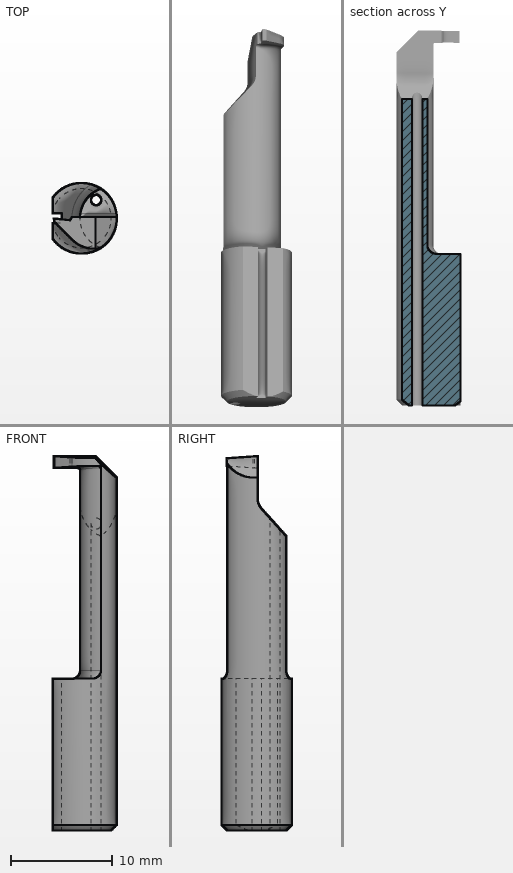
import cadquery as cq
import math

shank_radius = 3.5
flat_x = -2.85
shoulder_z = 15.0
shank_chamfer = 0.57
keyway_width = 0.95
keyway_depth = 0.9

neck_radius = 3.1
neck_left_x = -0.15
neck_axis_x = neck_left_x + neck_radius
neck_fillet = 0.8

total_height = 37.0
head_thickness = 1.2
relief_angle = 4.0
nose_chamfer_x = 1.38
head_fillet = 0.2
head_radius = 3.0
head_axis_x = 1.2
tip_x = -2.75
tip_y = 0.0
heel_y = -0.38
groove_end_x = -1.15
groove_y = -0.2
step_x = -0.95

face_y = 0.1
runout_radius = 1.5
runout_angle = 42.0
runout_end_y = 3.0
runout_end_z = 29.0
runout_overrun = 1.0

hole_diameter = 1.0
hole_x = 1.45
hole_y = 1.8

clearance = 10.0


def make_shank():
    shank = cq.Workplane("XY").circle(shank_radius).extrude(shoulder_z)
    shank = shank.faces("<Z").edges().chamfer(shank_chamfer)
    beyond_flat = cq.Workplane("XY").box(clearance, clearance, shoulder_z, centered=(True, True, False))
    beyond_flat = beyond_flat.translate((flat_x - clearance / 2, 0, 0))
    keyway = cq.Workplane("XY").box(keyway_depth, keyway_width, shoulder_z, centered=(False, True, False))
    return shank.cut(beyond_flat).cut(keyway.translate((flat_x, 0, 0)))


def make_neck():
    """Neck with a concave fillet at its root, kept inside the shank cylinder."""
    root_radius = neck_radius + neck_fillet
    root_top_z = shoulder_z + neck_fillet
    sag = neck_fillet * (1 - math.sqrt(0.5))
    blank = (
        cq.Workplane("XZ")
        .moveTo(0, shoulder_z)
        .lineTo(root_radius, shoulder_z)
        .threePointArc((neck_radius + sag, shoulder_z + sag), (neck_radius, root_top_z))
        .lineTo(neck_radius, total_height)
        .lineTo(0, total_height)
        .close()
        .revolve(360, (0, 0, 0), (0, 1, 0))
        .translate((neck_axis_x, 0, 0))
    )
    envelope = cq.Workplane("XY").circle(shank_radius).extrude(total_height)
    return blank.intersect(envelope)


def make_runout_cut():
    """Material removed above the milled face, its arc and its slope (YZ profile)."""
    angle = math.radians(runout_angle)
    arc_end_y = face_y + runout_radius * (1 - math.cos(angle))
    arc_end_z = runout_end_z + (runout_end_y - arc_end_y) / math.tan(angle)
    arc_start_z = arc_end_z + runout_radius * math.sin(angle)
    arc_mid = (
        face_y + runout_radius * (1 - math.cos(angle / 2)),
        arc_start_z - runout_radius * math.sin(angle / 2),
    )
    slope_end_y = runout_end_y + runout_overrun
    slope_end_z = runout_end_z - runout_overrun / math.tan(angle)
    return (
        cq.Workplane("YZ")
        .moveTo(face_y, total_height + clearance)
        .lineTo(face_y, arc_start_z)
        .threePointArc(arc_mid, (arc_end_y, arc_end_z))
        .lineTo(slope_end_y, slope_end_z)
        .lineTo(slope_end_y, total_height + clearance)
        .close()
        .extrude(clearance, both=True)
    )


def relief_plane(z, angle):
    """Upright plane at the milled face; sweeping along its normal falls by the angle towards -Y."""
    tilt = math.radians(angle)
    normal = (0, -math.cos(tilt), -math.sin(tilt))
    return cq.Workplane(cq.Plane(origin=(0, face_y, z), xDir=(1, 0, 0), normal=normal))


def make_head():
    """Head blank: chip groove on the +Y side, 45 degree flank and round back."""
    tangent_offset = head_radius * math.sqrt(0.5)
    tangent_x = head_axis_x - tangent_offset
    tangent_y = -tangent_offset
    heel_x = tangent_x + tangent_y - heel_y
    back_x = (shank_radius**2 - head_radius**2 + head_axis_x**2) / (2 * head_axis_x)
    back_y = -math.sqrt(shank_radius**2 - back_x**2)
    right_x = math.sqrt(shank_radius**2 - face_y**2)
    diagonal = shank_radius * math.sqrt(0.5)
    blank = (
        cq.Workplane("XY")
        .workplane(offset=total_height - 2 * head_thickness)
        .moveTo(tip_x, tip_y)
        .lineTo(heel_x, heel_y)
        .lineTo(tangent_x, tangent_y)
        .threePointArc((head_axis_x, -head_radius), (back_x, back_y))
        .threePointArc((diagonal, -diagonal), (right_x, face_y))
        .lineTo(step_x, face_y)
        .lineTo(groove_end_x, groove_y)
        .close()
        .extrude(2 * head_thickness)
    )
    below = (
        relief_plane(total_height - head_thickness, -relief_angle)
        .moveTo(-clearance, -clearance)
        .lineTo(-clearance, 0)
        .lineTo(clearance, 0)
        .lineTo(clearance, -clearance)
        .close()
        .extrude(clearance, both=True)
    )
    return blank.cut(below)


def make_top_cut():
    """Space above the relieved top face and the 45 degree nose chamfer."""
    return (
        relief_plane(total_height, relief_angle)
        .moveTo(-clearance, 0)
        .lineTo(nose_chamfer_x, 0)
        .lineTo(nose_chamfer_x + clearance, -clearance)
        .lineTo(nose_chamfer_x + clearance, clearance)
        .lineTo(-clearance, clearance)
        .close()
        .extrude(clearance, both=True)
    )


def join_head(neck):
    """Unite neck and head, rounding the corner where the neck runs into the head's underside."""
    joined = neck.union(make_head())
    underside_z = total_height - head_thickness
    corner_zone = cq.selectors.BoxSelector(
        (neck_left_x - head_fillet, -shank_radius, underside_z - head_fillet),
        (shank_radius, face_y + head_fillet, total_height - head_thickness / 2),
        boundingbox=True,
    )
    return joined.edges(corner_zone).fillet(head_fillet)


def make_coolant_hole():
    return cq.Workplane("XY").center(hole_x, hole_y).circle(hole_diameter / 2).extrude(total_height)


neck = make_neck().cut(make_runout_cut())
upper_part = join_head(neck).cut(make_top_cut())
result = make_shank().union(upper_part).cut(make_coolant_hole())